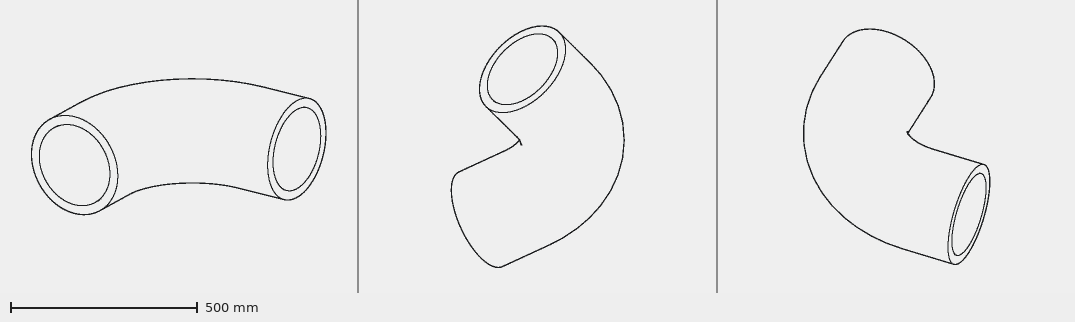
import cadquery as cq

overall_length = 569.0
outer_diameter = 280.0
wall_thickness = 25.5
bend_radius = 280.0

outer_radius = outer_diameter / 2
bore_radius = outer_radius - wall_thickness
leg_length = overall_length - outer_radius - bend_radius


def straight_leg(plane):
    """Pipe end extruded away from the bend along the plane normal."""
    return cq.Workplane(plane).circle(outer_radius).circle(bore_radius).extrude(leg_length)


bend = (
    cq.Workplane("XZ")
    .circle(outer_radius)
    .circle(bore_radius)
    .revolve(90, (bend_radius, 0), (bend_radius, -1))
)
inlet_leg = straight_leg(cq.Plane.XZ())
outlet_leg = straight_leg(cq.Plane.YZ((bend_radius, bend_radius, 0)))

result = bend.union(inlet_leg).union(outlet_leg)